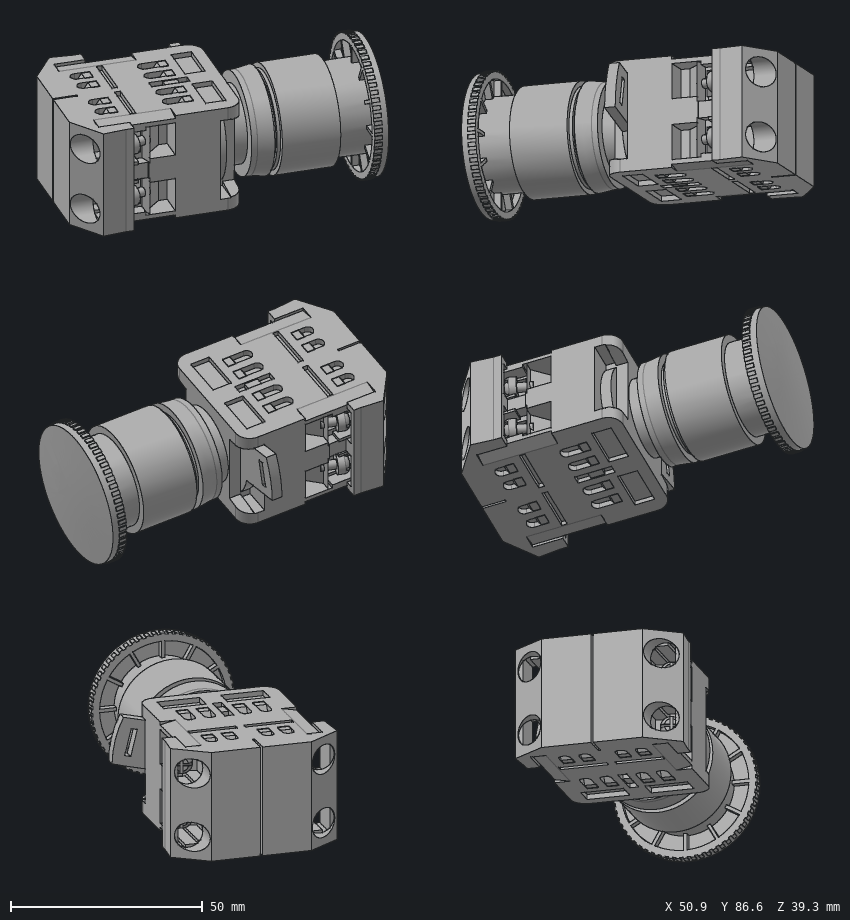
import cadquery as cq
import math

BLOCK_HEIGHT = 30.1
HALF_HEIGHT = BLOCK_HEIGHT / 2
BODY_HALF_WIDTH = 18.8
BODY_BACK = 46.1
BODY_CORNER_RADIUS = 4.25
NOSE_HALF_WIDTH = 13.8
FLARE_FRONT_HALF_WIDTH = 23.0
FLARE_BACK_HALF_WIDTH = 22.35
FLARE_FRONT = 6.4
FLARE_BEND = 12.7
FLARE_BACK = 15.0
SLIT_WIDTH = 0.6
SLIT_DEPTH = 6.7

STRIP_INNER_X = 14.55
STRIP_BACK = 27.55
STRIP_DROP = 0.9

RECESS_DEPTH = 1.4
LABEL_INNER_X = 2.95
LABEL_BACK = 42.7
LABEL_FRONT = 37.2
LATCH_SLOT_WIDTH = 2.4
LATCH_SLOT_FRONT = 26.7
BRIDGE_WIDTH = 2.0
BRIDGE_BACK = 34.4
BRIDGE_FRONT = 30.4
THIN_SLOT_INNER_X = 1.1
THIN_SLOT_OUTER_X = 14.2
THIN_SLOT_BACK = 18.1
THIN_SLOT_FRONT = 16.55
VENT_WIDTH = 3.1
VENT_X = (4.9, 10.5)
VENT_DEPTH = 1.7
VENT_SILL_DEPTH = 0.2
VENT_RAMP_LENGTH = 1.0
VENT_SILL_LENGTH = 2.25
VENT_ROWS = ((34.65, 26.7), (13.95, 8.2))

ACCESS_DIAMETER = 8.0
ACCESS_X = 18.0
ACCESS_Z = 8.75
ACCESS_OUTER_X = 20.9
WINDOW_BACK = 27.5
WINDOW_FLOOR_FRONT = 25.0
WINDOW_FRONT = 20.5
WINDOW_DEPTH = 6.9
WINDOW_FRONT_DEPTH = 2.6
WINDOW_LOW_Z = 3.5
WINDOW_HIGH_Z = 12.9
LIP_FRONT = 19.4
LIP_LOW_Z = 2.25
LIP_DEPTH = 0.2
PLATE_DEPTH = 3.5
PLATE_NOTCH_FRONT = 17.3
PLATE_LOW_Z = 3.1
PLATE_HIGH_Z = 11.95
SEAT_BACK = 19.0
SEAT_DEPTH = 6.9
SEAT_LOW_Z = 4.1
SEAT_HIGH_Z = 11.1
SEAT_RAMP_FRONT = 17.85
MIDDLE_STEP_BACK = 20.2
MIDDLE_STEP_DEPTH = 0.5

SCREW_TILT = 17
SCREW_X = 16.5
SCREW_Y = 16.9
SCREW_Z = 7.5
HEAD_DIAMETER = 5.7
HEAD_RIM_HEIGHT = 2.0
HEAD_HEIGHT = 3.3
HEAD_FLAT_DIAMETER = 3.6
SHANK_DIAMETER = 2.6
SHANK_LENGTH = 4.3
CROSS_WIDTH = 0.8
CROSS_DEPTH = 1.0

RING_FRONT = 39.85
RING_BACK = 42.8
RING_SLOT_HALF_HEIGHT = 11.5
RING_RADIUS = 14.9
LEVER_RADIUS = 27.9
LEVER_WIDTH = 13
LEVER_TILT = 14
LEVER_SLOT_OUTER = 24.25
LEVER_SLOT_WIDTH = 1.7
LEVER_SLOT_LENGTH = 7.45
TAB_OUTER_Z = 11.35
SOCKET_WIDTH = 22.7
TAB_INNER_Z = 10.3

NECK_DIAMETER = 21.5
COLLAR_FRONT = 49.9
COLLAR_CONE_FRONT = 51.55
COLLAR_BACK = 56.05
COLLAR_FRONT_DIAMETER = 28.3
COLLAR_BACK_DIAMETER = 29.6
GROOVE_DIAMETER = 25.1
GROOVE_BACK = 57.1
SHOULDER_DIAMETER = 27.1
SLEEVE_DIAMETER = 30.0
SLEEVE_FRONT = 58
SLEEVE_BACK = 74.1
STEM_DIAMETER = 25.6
CAP_DIAMETER = 38.6
CAP_FRONT = 81.9
CAP_EDGE = 85.85
CAP_TOP = 86.6
CAP_RECESS_DIAMETER = 34.8
CAP_RECESS_DEPTH = 1.9
RIB_COUNT = 12
RIB_WIDTH = 0.95
TOOTH_COUNT = 60
TOOTH_WIDTH = 1.1
TOOTH_LENGTH = 2.2
KNURL_DIAMETER = 39.3

OVERCUT = 0.9


def box(x_range, y_range, z_range):
    """Box between two limits along each axis."""
    ranges = (x_range, y_range, z_range)
    size = [max(r) - min(r) for r in ranges]
    return cq.Workplane("XY").box(*size, centered=False).translate(tuple(min(r) for r in ranges))


def plan_prism(points, z_range):
    """Prism with an outline in plan, between two heights."""
    low, high = z_range
    return cq.Workplane("XY").polyline(points).close().extrude(high - low).translate((0, 0, low))


def both_sides(shape):
    """The shape together with its mirror image on the other side in X."""
    return shape.union(shape.mirror("YZ"))


def top_and_bottom(shape):
    """The shape together with its mirror image on the other side in Z."""
    return shape.union(shape.mirror("XY"))


def block_blank():
    """Body with rounded back corners, flared nose and central slit."""
    body = (
        box((-BODY_HALF_WIDTH, BODY_HALF_WIDTH), (0, BODY_BACK), (-HALF_HEIGHT, HALF_HEIGHT))
        .edges("|Z and >Y")
        .fillet(BODY_CORNER_RADIUS)
    )
    right_side = [
        (NOSE_HALF_WIDTH, 0),
        (FLARE_FRONT_HALF_WIDTH, FLARE_FRONT),
        (FLARE_BACK_HALF_WIDTH, FLARE_BEND),
        (FLARE_BACK_HALF_WIDTH, FLARE_BACK),
    ]
    left_side = [(-x, y) for x, y in reversed(right_side)]
    flare = plan_prism(right_side + left_side, (-HALF_HEIGHT, HALF_HEIGHT))
    nose_limit = box(
        (-FLARE_FRONT_HALF_WIDTH, FLARE_FRONT_HALF_WIDTH), (FLARE_BACK, BODY_BACK), (-HALF_HEIGHT, HALF_HEIGHT)
    )
    slit = box((-SLIT_WIDTH / 2, SLIT_WIDTH / 2), (-OVERCUT, SLIT_DEPTH), (-HALF_HEIGHT, HALF_HEIGHT))
    return body.intersect(nose_limit).union(flare).cut(slit)


def edge_strips():
    """Wedges that slope the side edges of the top and bottom faces downwards."""
    wedge = (
        cq.Workplane("XZ")
        .polyline(
            [
                (STRIP_INNER_X, HALF_HEIGHT),
                (BODY_HALF_WIDTH, HALF_HEIGHT),
                (BODY_HALF_WIDTH, HALF_HEIGHT - STRIP_DROP),
            ]
        )
        .close()
        .extrude(STRIP_BACK - FLARE_FRONT)
        .translate((0, STRIP_BACK, 0))
    )
    return top_and_bottom(both_sides(wedge))


def vent(x, back, front):
    """Round-ended recess with a shallow sill at the back and a ramp down to its floor."""
    radius = VENT_WIDTH / 2
    outline = (
        cq.Workplane("XY")
        .moveTo(x - radius, back)
        .lineTo(x - radius, front + radius)
        .threePointArc((x, front), (x + radius, front + radius))
        .lineTo(x + radius, back)
        .close()
        .extrude(VENT_DEPTH)
        .translate((0, 0, HALF_HEIGHT - VENT_DEPTH))
    )
    crest = back - VENT_SILL_LENGTH
    sill = (
        cq.Workplane("YZ")
        .polyline(
            [
                (back, HALF_HEIGHT - VENT_DEPTH),
                (back, HALF_HEIGHT - VENT_SILL_DEPTH),
                (crest, HALF_HEIGHT - VENT_SILL_DEPTH),
                (crest - VENT_RAMP_LENGTH, HALF_HEIGHT - VENT_DEPTH),
            ]
        )
        .close()
        .extrude(radius, both=True)
        .translate((x, 0, 0))
    )
    return outline.cut(sill)


def face_recesses():
    """Label pockets, latch slot, thin slots and vents in the top and bottom faces."""
    depth_range = (HALF_HEIGHT - RECESS_DEPTH, HALF_HEIGHT)
    half = box((LABEL_INNER_X, STRIP_INNER_X), (LABEL_FRONT, LABEL_BACK), depth_range)
    half = half.union(
        box((THIN_SLOT_INNER_X, THIN_SLOT_OUTER_X), (THIN_SLOT_FRONT, THIN_SLOT_BACK), depth_range)
    )
    for back, front in VENT_ROWS:
        for x in VENT_X:
            half = half.union(vent(x, back, front))
    latch_slot = box(
        (-LATCH_SLOT_WIDTH / 2, LATCH_SLOT_WIDTH / 2), (LATCH_SLOT_FRONT, LABEL_FRONT), depth_range
    )
    bridge = box(
        (-BRIDGE_WIDTH / 2, BRIDGE_WIDTH / 2),
        (BRIDGE_FRONT, BRIDGE_BACK),
        (HALF_HEIGHT - RECESS_DEPTH, HALF_HEIGHT - VENT_SILL_DEPTH),
    )
    return top_and_bottom(both_sides(half).union(latch_slot.cut(bridge)))


def access_hole():
    """Round screwdriver hole opening into a room behind the wall of the flare."""
    hole = cq.Workplane("XZ").center(ACCESS_X, ACCESS_Z).circle(ACCESS_DIAMETER / 2).extrude(-FLARE_FRONT)
    room = box((BODY_HALF_WIDTH, ACCESS_OUTER_X), (FLARE_FRONT, FLARE_BACK), (LIP_LOW_Z, WINDOW_HIGH_Z))
    return hole.union(room)


def terminal_cavity():
    """Side openings of one terminal: wire window, sloped lip, plate recess and screw seat."""
    side = BODY_HALF_WIDTH
    outside = side + OVERCUT
    window = plan_prism(
        [
            (outside, WINDOW_BACK),
            (side - WINDOW_DEPTH, WINDOW_BACK),
            (side - WINDOW_DEPTH, WINDOW_FLOOR_FRONT),
            (side - WINDOW_FRONT_DEPTH, WINDOW_FRONT),
            (outside, WINDOW_FRONT),
        ],
        (WINDOW_LOW_Z, WINDOW_HIGH_Z),
    )
    lip = plan_prism(
        [
            (outside, WINDOW_FRONT),
            (side - LIP_DEPTH, WINDOW_FRONT),
            (side - PLATE_DEPTH, LIP_FRONT),
            (outside, LIP_FRONT),
        ],
        (LIP_LOW_Z, WINDOW_HIGH_Z),
    )
    plate = box((side - PLATE_DEPTH, side), (FLARE_FRONT, LIP_FRONT), (PLATE_LOW_Z, PLATE_HIGH_Z))
    plate_notch = box((side - PLATE_DEPTH, outside), (PLATE_NOTCH_FRONT, LIP_FRONT), (LIP_LOW_Z, PLATE_LOW_Z))
    seat = plan_prism(
        [
            (side - PLATE_DEPTH, SEAT_BACK),
            (side - SEAT_DEPTH, SEAT_RAMP_FRONT),
            (side - SEAT_DEPTH, FLARE_FRONT),
            (side, FLARE_FRONT),
            (side, SEAT_BACK),
        ],
        (SEAT_LOW_Z, SEAT_HIGH_Z),
    )
    middle_step = box((side - MIDDLE_STEP_DEPTH, outside), (FLARE_BACK, MIDDLE_STEP_BACK), (0, LIP_LOW_Z))
    return window.union(lip).union(plate).union(plate_notch).union(seat).union(middle_step)


def terminal_screw():
    """Cross-head screw whose axis leans outwards towards the front."""
    head_radius = HEAD_DIAMETER / 2
    flat_radius = HEAD_FLAT_DIAMETER / 2
    bulge = (HEAD_HEIGHT - HEAD_RIM_HEIGHT) * 0.6
    screw = (
        cq.Workplane("XY")
        .moveTo(0, SHANK_LENGTH)
        .lineTo(SHANK_DIAMETER / 2, SHANK_LENGTH)
        .lineTo(SHANK_DIAMETER / 2, 0)
        .lineTo(head_radius, 0)
        .lineTo(head_radius, -HEAD_RIM_HEIGHT)
        .threePointArc(
            ((head_radius + flat_radius) / 2 + 0.2, -HEAD_RIM_HEIGHT - bulge), (flat_radius, -HEAD_HEIGHT)
        )
        .lineTo(0, -HEAD_HEIGHT)
        .close()
        .revolve(360, (0, 0, 0), (0, 1, 0))
    )
    for angle in (0, 90):
        bar = box(
            (-head_radius, head_radius),
            (-HEAD_HEIGHT, CROSS_DEPTH - HEAD_HEIGHT),
            (-CROSS_WIDTH / 2, CROSS_WIDTH / 2),
        )
        screw = screw.cut(bar.rotate((0, 0, 0), (0, 1, 0), angle))
    return screw.rotate((0, 0, 0), (0, 0, 1), SCREW_TILT).translate((SCREW_X, SCREW_Y, SCREW_Z))


def ring_space():
    """Room beside the socket for the locking ring, and the tapered gap between the back tabs."""
    inner = SOCKET_WIDTH / 2
    slot = box(
        (inner, BODY_HALF_WIDTH), (RING_FRONT, RING_BACK), (-RING_SLOT_HALF_HEIGHT, RING_SLOT_HALF_HEIGHT)
    )
    gap = (
        cq.Workplane("XZ")
        .polyline(
            [
                (inner, -TAB_INNER_Z),
                (BODY_HALF_WIDTH, -TAB_OUTER_Z),
                (BODY_HALF_WIDTH, TAB_OUTER_Z),
                (inner, TAB_INNER_Z),
            ]
        )
        .close()
        .extrude(RING_BACK - BODY_BACK)
        .translate((0, RING_BACK, 0))
    )
    return both_sides(slot.union(gap))


def locking_ring():
    """Locking disc, flat at the top and bottom, with a slotted lever on the -X side."""
    thickness = RING_BACK - RING_FRONT
    disc = cq.Workplane("XZ").circle(RING_RADIUS).extrude(-thickness)
    disc = disc.intersect(
        box(
            (-RING_RADIUS, RING_RADIUS),
            (0, thickness),
            (-RING_SLOT_HALF_HEIGHT, RING_SLOT_HALF_HEIGHT),
        )
    )
    lever = box((-LEVER_RADIUS, 0), (0, thickness), (-LEVER_WIDTH / 2, LEVER_WIDTH / 2))
    lever = lever.intersect(cq.Workplane("XZ").circle(LEVER_RADIUS).extrude(-thickness))
    lever = lever.cut(
        box(
            (-LEVER_SLOT_OUTER, LEVER_SLOT_WIDTH - LEVER_SLOT_OUTER),
            (0, thickness),
            (-LEVER_SLOT_LENGTH / 2, LEVER_SLOT_LENGTH / 2),
        )
    )
    lever = lever.rotate((0, 0, 0), (0, 1, 0), LEVER_TILT)
    return disc.union(lever).translate((0, RING_FRONT, 0))


def button():
    """Neck, collar, sleeve, stem and domed cap turned about the Y axis."""
    profile = [
        (NECK_DIAMETER, RING_BACK),
        (NECK_DIAMETER, COLLAR_FRONT),
        (COLLAR_FRONT_DIAMETER, COLLAR_FRONT),
        (COLLAR_FRONT_DIAMETER, COLLAR_CONE_FRONT),
        (COLLAR_BACK_DIAMETER, COLLAR_BACK),
        (GROOVE_DIAMETER, COLLAR_BACK),
        (GROOVE_DIAMETER, GROOVE_BACK),
        (SHOULDER_DIAMETER, GROOVE_BACK),
        (SHOULDER_DIAMETER, SLEEVE_FRONT),
        (SLEEVE_DIAMETER, SLEEVE_FRONT),
        (SLEEVE_DIAMETER, SLEEVE_BACK),
        (STEM_DIAMETER, SLEEVE_BACK),
        (STEM_DIAMETER, CAP_FRONT + CAP_RECESS_DEPTH),
        (CAP_RECESS_DIAMETER, CAP_FRONT + CAP_RECESS_DEPTH),
        (CAP_RECESS_DIAMETER, CAP_FRONT),
        (CAP_DIAMETER, CAP_FRONT),
        (CAP_DIAMETER, CAP_EDGE),
    ]
    cap_radius = CAP_DIAMETER / 2
    dome_rise = CAP_TOP - CAP_EDGE
    dome_radius = (cap_radius**2 + dome_rise**2) / (2 * dome_rise)
    middle_x = cap_radius / 2
    dome_middle = (middle_x, CAP_TOP - dome_radius + math.sqrt(dome_radius**2 - middle_x**2))
    turned = (
        cq.Workplane("XY")
        .moveTo(0, RING_BACK)
        .polyline([(diameter / 2, y) for diameter, y in profile], includeCurrent=True)
        .threePointArc(dome_middle, (0, CAP_TOP))
        .close()
        .revolve(360, (0, 0, 0), (0, 1, 0))
    )
    return turned.union(cap_ribs()).union(cap_knurl())


def cap_ribs():
    """Radial ribs bridging the recess under the cap."""
    rib = box(
        (STEM_DIAMETER / 2 - OVERCUT, CAP_RECESS_DIAMETER / 2 + OVERCUT),
        (CAP_FRONT, CAP_FRONT + CAP_RECESS_DEPTH),
        (-RIB_WIDTH / 2, RIB_WIDTH / 2),
    )
    ribs = cq.Workplane("XY")
    for i in range(RIB_COUNT):
        ribs = ribs.add(rib.rotate((0, 0, 0), (0, 1, 0), i * 360 / RIB_COUNT))
    return ribs.combine()


def cap_knurl():
    """Gear-like rim: small teeth standing proud of the cap's edge."""
    tooth = box(
        (CAP_RECESS_DIAMETER / 2 + OVERCUT, KNURL_DIAMETER / 2),
        (CAP_FRONT, CAP_FRONT + TOOTH_LENGTH),
        (-TOOTH_WIDTH / 2, TOOTH_WIDTH / 2),
    )
    teeth = cq.Workplane("XY")
    for i in range(TOOTH_COUNT):
        teeth = teeth.add(tooth.rotate((0, 0, 0), (0, 1, 0), i * 360 / TOOTH_COUNT))
    return teeth.combine()


block = block_blank().cut(edge_strips()).cut(face_recesses()).cut(ring_space())
block = block.cut(top_and_bottom(both_sides(access_hole().union(terminal_cavity()))))
screws = top_and_bottom(both_sides(terminal_screw()))
result = block.union(screws).union(locking_ring()).union(button())